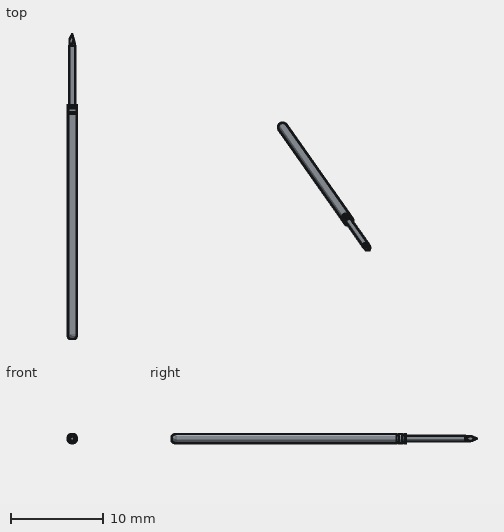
import cadquery as cq
import math

total_length = 33.1
barrel_diameter = 1.02
plunger_diameter = 0.66
plunger_length = 7.7

end_round_length = 0.45

groove_width = 0.25
groove_depth = 0.125
groove_offsets = (0.27, 0.87)

tip_length = 1.3
tip_diameter = 0.62
facet_count = 3
facet_angle = 15.0
first_facet_direction = 0.0

barrel_radius = barrel_diameter / 2
plunger_radius = plunger_diameter / 2
tip_radius = tip_diameter / 2
groove_radius = ((groove_width / 2) ** 2 + groove_depth**2) / (2 * groove_depth)
barrel_end_y = -total_length / 2
point_y = total_length / 2
barrel_mouth_y = point_y - plunger_length
tip_base_y = point_y - tip_length


def make_barrel_and_plunger():
    """Turn the whole probe, with a blunt tip, about the Y axis."""
    round_start_y = barrel_end_y + end_round_length
    flat_radius = math.sqrt(barrel_radius**2 - end_round_length**2)
    mid_angle = math.asin(end_round_length / barrel_radius) / 2
    mid_x = barrel_radius * math.cos(mid_angle)
    mid_y = round_start_y - barrel_radius * math.sin(mid_angle)
    return (
        cq.Workplane("XY")
        .moveTo(0, barrel_end_y)
        .lineTo(flat_radius, barrel_end_y)
        .threePointArc((mid_x, mid_y), (barrel_radius, round_start_y))
        .lineTo(barrel_radius, barrel_mouth_y)
        .lineTo(plunger_radius, barrel_mouth_y)
        .lineTo(plunger_radius, tip_base_y)
        .lineTo(tip_radius, tip_base_y)
        .lineTo(tip_radius, point_y)
        .lineTo(0, point_y)
        .close()
        .revolve(360, (0, 0), (0, 1))
    )


def make_crimp_groove(offset):
    """Ring of round section that cuts one crimp groove."""
    center_x = barrel_radius + groove_radius - groove_depth
    return (
        cq.Workplane("XY")
        .center(center_x, barrel_mouth_y - offset)
        .circle(groove_radius)
        .revolve(360, (-center_x, 0), (-center_x, 1))
    )


def make_facet_cutter(direction):
    """Wedge outside one sloping facet, turned about the Y axis."""
    reach = barrel_diameter
    facet_run = reach / math.tan(math.radians(facet_angle))
    return (
        cq.Workplane("XY")
        .moveTo(0, point_y)
        .lineTo(reach, point_y - facet_run)
        .lineTo(reach, point_y)
        .close()
        .extrude(reach, both=True)
        .rotate((0, 0, 0), (0, 1, 0), direction)
    )


result = make_barrel_and_plunger()
for offset in groove_offsets:
    result = result.cut(make_crimp_groove(offset))
for index in range(facet_count):
    direction = first_facet_direction + index * 360 / facet_count
    result = result.cut(make_facet_cutter(direction))